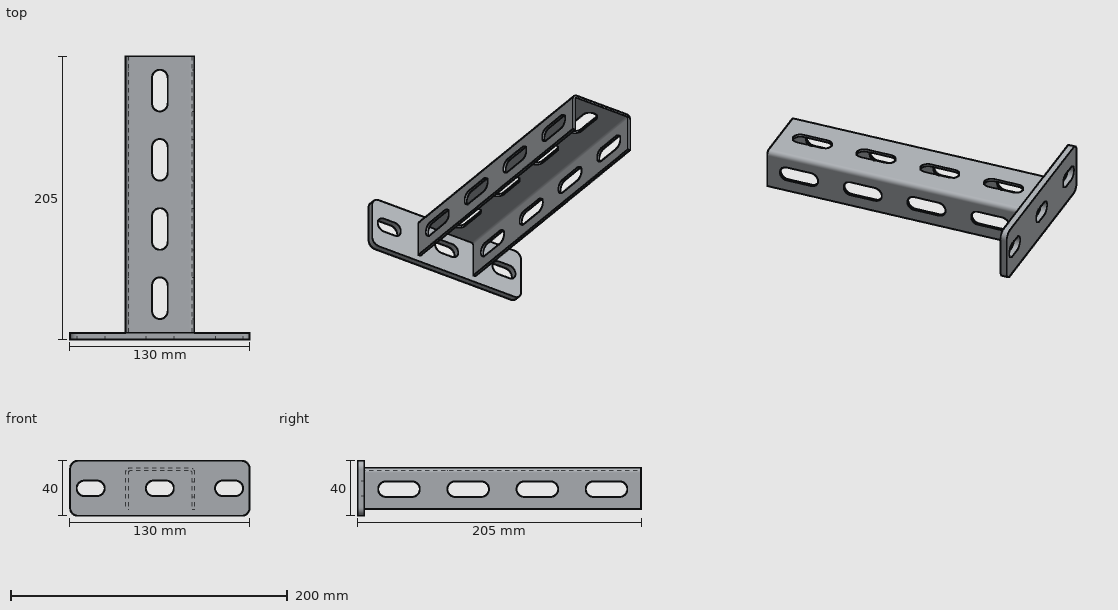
import cadquery as cq

PLATE_WIDTH = 130.0
PLATE_HEIGHT = 40.0
PLATE_THICKNESS = 5.0
PLATE_CORNER_RADIUS = 6.0
PLATE_SLOT_LENGTH = 20.0

TOTAL_LENGTH = 205.0
ARM_LENGTH = TOTAL_LENGTH - PLATE_THICKNESS
ARM_WIDTH = 50.0
ARM_HEIGHT = 30.0
SHEET_THICKNESS = 2.0
BEND_RADIUS = 3.5
ARM_SLOT_LENGTH = 30.0
FLANGE_SLOT_DROP = 0.6

SLOT_WIDTH = 11.0
ARM_SLOT_COUNT = 4
PLATE_SLOT_COUNT = 3
SLOT_PITCH = ARM_LENGTH / ARM_SLOT_COUNT


def make_plate():
    """Upright plate with rounded corners and a row of horizontal slots."""
    plate = (
        cq.Workplane("XY")
        .box(PLATE_WIDTH, PLATE_THICKNESS, PLATE_HEIGHT, centered=(True, False, True))
        .edges("|Y")
        .fillet(PLATE_CORNER_RADIUS)
    )
    slots = (
        cq.Workplane("XZ")
        .rarray(SLOT_PITCH, 2, PLATE_SLOT_COUNT, 1)
        .slot2D(PLATE_SLOT_LENGTH, SLOT_WIDTH)
        .extrude(-PLATE_THICKNESS)
    )
    return plate.cut(slots)


def make_channel():
    """Plain channel with rounded outer and inner bends."""
    outer = (
        cq.Workplane("XY")
        .box(ARM_WIDTH, ARM_LENGTH, ARM_HEIGHT)
        .edges("|Y and >Z")
        .fillet(BEND_RADIUS)
    )
    inner = (
        cq.Workplane("XY")
        .box(ARM_WIDTH - 2 * SHEET_THICKNESS, ARM_LENGTH, ARM_HEIGHT)
        .edges("|Y and >Z")
        .fillet(BEND_RADIUS - SHEET_THICKNESS)
        .translate((0, 0, -SHEET_THICKNESS))
    )
    return outer.cut(inner)


def make_arm():
    """Channel with a row of lengthwise slots in its web and in both flanges."""
    web_slots = (
        cq.Workplane("XY")
        .rarray(2, SLOT_PITCH, 1, ARM_SLOT_COUNT)
        .slot2D(ARM_SLOT_LENGTH, SLOT_WIDTH, angle=90)
        .extrude(ARM_HEIGHT)
    )
    flange_slots = (
        cq.Workplane("YZ")
        .center(0, -FLANGE_SLOT_DROP)
        .rarray(SLOT_PITCH, 2, ARM_SLOT_COUNT, 1)
        .slot2D(ARM_SLOT_LENGTH, SLOT_WIDTH)
        .extrude(ARM_WIDTH, both=True)
    )
    arm = make_channel().cut(web_slots).cut(flange_slots)
    return arm.translate((0, PLATE_THICKNESS + ARM_LENGTH / 2, 0))


plate = make_plate()
arm = make_arm()

result = cq.Compound.makeCompound([plate.solids().val(), arm.solids().val()])